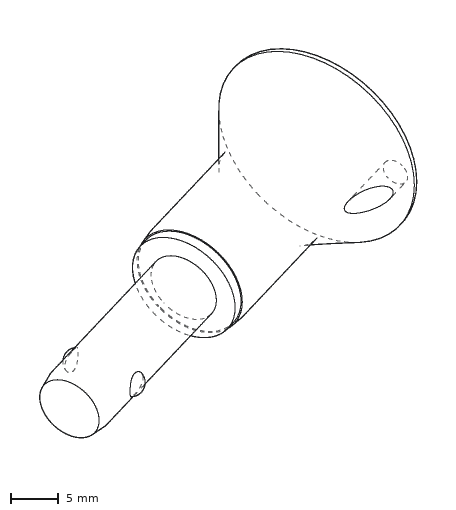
import cadquery as cq
import math


shank_radius = 4.0
shank_length = 23.1
tip_radius = 3.65
tip_length = 2.0

ball_radius = 1.5
ball_span = 9.6
ball_to_tip = 7.0

handle_length = 27.6
sleeve_radius = 6.6
collar_radius = 6.3
collar_length = 1.2
crown_length = 1.7
crown_drop = 0.15

knob_radius = 12.0
rim_thickness = 0.8
rim_round = 0.4
flare_angle = math.radians(31.3)
neck_round = 2.0

lanyard_hole_diameter = 3.0
lanyard_hole_offset = 9.2


def circle_point(center, radius, direction):
    """Point on a circle at the given direction angle."""
    return (
        center[0] + radius * math.cos(direction),
        center[1] + radius * math.sin(direction),
    )


def make_shank():
    return (
        cq.Workplane("XY")
        .moveTo(0, collar_length)
        .lineTo(shank_radius, collar_length)
        .lineTo(shank_radius, tip_length - shank_length)
        .lineTo(tip_radius, -shank_length)
        .lineTo(0, -shank_length)
        .close()
        .revolve(360, (0, 0, 0), (0, 1, 0))
    )


def make_handle():
    crown_top = collar_length + crown_length
    crown_radius = (crown_length**2 + crown_drop**2) / (2 * crown_drop)
    crown_center = (sleeve_radius - crown_radius, crown_top)
    crown_sweep = math.asin(crown_length / crown_radius)

    rim_bottom = handle_length - rim_thickness
    neck_corner = rim_bottom - (knob_radius - sleeve_radius) / math.tan(flare_angle)
    neck_start = neck_corner - neck_round * math.tan(flare_angle / 2)
    neck_center = (sleeve_radius + neck_round, neck_start)

    rim_center = (knob_radius - rim_round, handle_length - rim_round)

    return (
        cq.Workplane("XY")
        .lineTo(collar_radius, 0)
        .lineTo(collar_radius, collar_length)
        .lineTo(sleeve_radius - crown_drop, collar_length)
        .threePointArc(
            circle_point(crown_center, crown_radius, -crown_sweep / 2),
            (sleeve_radius, crown_top),
        )
        .lineTo(sleeve_radius, neck_start)
        .threePointArc(
            circle_point(neck_center, neck_round, math.pi - flare_angle / 2),
            circle_point(neck_center, neck_round, math.pi - flare_angle),
        )
        .lineTo(knob_radius, rim_bottom)
        .lineTo(knob_radius, rim_center[1])
        .threePointArc(
            circle_point(rim_center, rim_round, math.pi / 4),
            (rim_center[0], handle_length),
        )
        .lineTo(0, handle_length)
        .close()
        .revolve(360, (0, 0, 0), (0, 1, 0))
    )


def make_ball(side):
    center_x = side * (ball_span / 2 - ball_radius)
    center_y = ball_to_tip - shank_length
    return cq.Workplane("XY").sphere(ball_radius).translate((center_x, center_y, 0))


def make_lanyard_hole():
    return (
        cq.Workplane("XZ")
        .center(lanyard_hole_offset, 0)
        .circle(lanyard_hole_diameter / 2)
        .extrude(-handle_length)
    )


result = make_handle().union(make_shank())
for side in (-1, 1):
    result = result.union(make_ball(side))
result = result.cut(make_lanyard_hole())